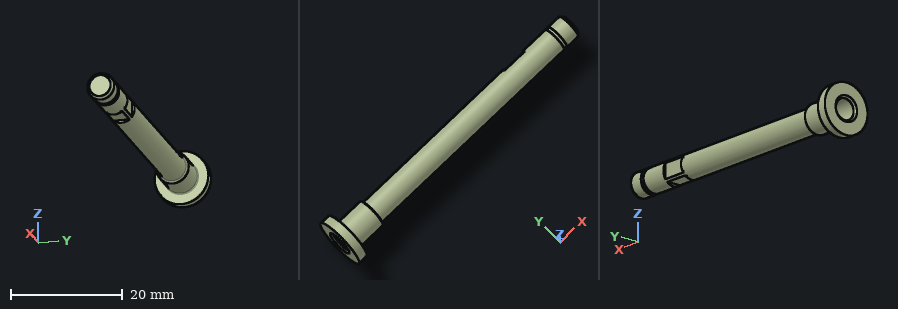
import cadquery as cq
import math

length = 58.0
flange_diameter = 10.0
flange_thickness = 2.0
collar_diameter = 6.0
collar_end = 8.0
shaft_diameter = 5.0
step_fillet = 0.2
tip_chamfer = 0.5

groove_start = 54.0
groove_width = 0.7
groove_diameter = 4.8

flat_start = 43.4
flat_length = 5.0
flat_depth = 0.5

hole_diameter = 4.1
hole_mouth_diameter = 5.0
hole_depth = 10.0
drill_tip_angle = 118.0


def cylinder(start, end, diameter):
    return cq.Workplane("YZ", origin=(start, 0, 0)).circle(diameter / 2).extrude(end - start)


def stepped_body():
    flange_radius = flange_diameter / 2
    collar_radius = collar_diameter / 2
    shaft_radius = shaft_diameter / 2
    fillet_middle = step_fillet * (1 - math.sqrt(0.5))
    profile = (
        cq.Workplane("XY")
        .lineTo(0, flange_radius)
        .lineTo(flange_thickness, flange_radius)
        .lineTo(flange_thickness, collar_radius + step_fillet)
        .threePointArc(
            (flange_thickness + fillet_middle, collar_radius + fillet_middle),
            (flange_thickness + step_fillet, collar_radius),
        )
        .lineTo(collar_end, collar_radius)
        .lineTo(collar_end, shaft_radius + step_fillet)
        .threePointArc(
            (collar_end + fillet_middle, shaft_radius + fillet_middle),
            (collar_end + step_fillet, shaft_radius),
        )
        .lineTo(length - tip_chamfer, shaft_radius)
        .lineTo(length, shaft_radius - tip_chamfer)
        .lineTo(length, 0)
        .close()
    )
    return profile.revolve(360, (0, 0, 0), (1, 0, 0))


def retaining_groove():
    groove_end = groove_start + groove_width
    outer = cylinder(groove_start, groove_end, shaft_diameter)
    return outer.cut(cylinder(groove_start, groove_end, groove_diameter))


def blind_hole():
    hole_radius = hole_diameter / 2
    mouth_radius = hole_mouth_diameter / 2
    mouth_depth = mouth_radius - hole_radius
    tip_length = hole_radius / math.tan(math.radians(drill_tip_angle / 2))
    profile = (
        cq.Workplane("XY")
        .lineTo(0, mouth_radius)
        .lineTo(mouth_depth, hole_radius)
        .lineTo(hole_depth, hole_radius)
        .lineTo(hole_depth + tip_length, 0)
        .close()
    )
    return profile.revolve(360, (0, 0, 0), (1, 0, 0))


def flat_cutter():
    """Block that removes the -Z side of the shaft down to the flat."""
    flat_offset = shaft_diameter / 2 - flat_depth
    return cq.Workplane("XY", origin=(flat_start + flat_length / 2, 0, -flat_offset)).rect(
        flat_length, shaft_diameter
    ).extrude(-shaft_diameter)


result = stepped_body().cut(retaining_groove()).cut(blind_hole())
for turn_about_x in (0, 90):
    result = result.cut(flat_cutter().rotate((0, 0, 0), (1, 0, 0), turn_about_x))